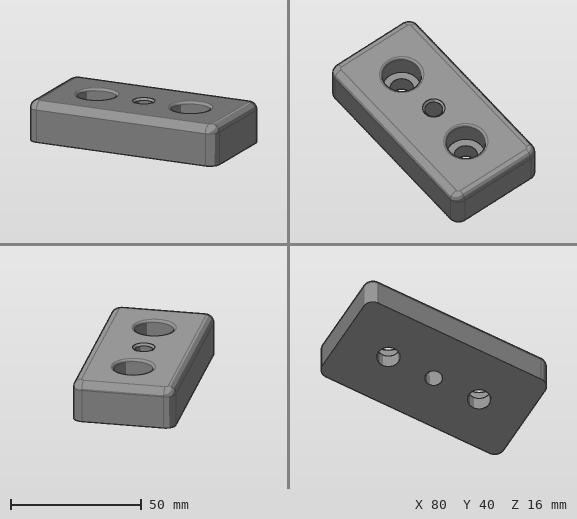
import cadquery as cq

length = 80.0
width = length / 2
height = length / 5
corner_radius = 4.0
top_edge_radius = 3.0

screw_spacing = length / 2
screw_hole_diameter = 9.0
counterbore_diameter = 15.0
counterbore_depth = 9.0
counterbore_rim_radius = 1.0

centre_hole_diameter = 6.8
centre_hole_chamfer = 0.9


def rounded_block():
    """Block standing on Z = 0 with rounded upright corners and top edges."""
    block = cq.Workplane("XY").box(length, width, height, centered=(True, True, False))
    block = block.edges("|Z").fillet(corner_radius)
    return block.faces(">Z").edges().fillet(top_edge_radius)


def screw_hole_cutter(x):
    """Through hole and counterbore whose rim flares out in a convex round."""
    bore_radius = counterbore_diameter / 2
    rim_radius = bore_radius + counterbore_rim_radius
    hole_radius = screw_hole_diameter / 2
    floor_height = height - counterbore_depth
    rim_start = height - counterbore_rim_radius
    profile = (
        cq.Workplane("XZ")
        .lineTo(hole_radius, 0)
        .lineTo(hole_radius, floor_height)
        .lineTo(bore_radius, floor_height)
        .lineTo(bore_radius, rim_start)
        .radiusArc((rim_radius, height), counterbore_rim_radius)
        .lineTo(0, height)
        .close()
    )
    return profile.revolve(360, (0, 0, 0), (0, 1, 0)).translate((x, 0, 0))


def centre_hole_cutter():
    """Through hole that widens in a 45 degree chamfer at the top face."""
    hole_radius = centre_hole_diameter / 2
    profile = (
        cq.Workplane("XZ")
        .lineTo(hole_radius, 0)
        .lineTo(hole_radius, height - centre_hole_chamfer)
        .lineTo(hole_radius + centre_hole_chamfer, height)
        .lineTo(0, height)
        .close()
    )
    return profile.revolve(360, (0, 0, 0), (0, 1, 0))


result = rounded_block().cut(centre_hole_cutter())
for side in (-1, 1):
    result = result.cut(screw_hole_cutter(side * screw_spacing / 2))